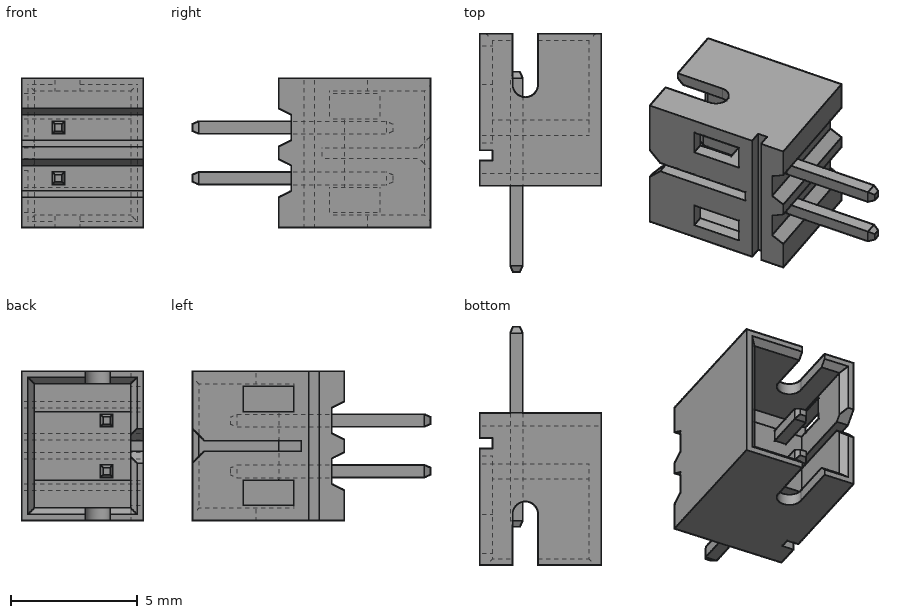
import cadquery as cq

WIDTH = 4.8
LENGTH = 6.0
HEIGHT = 5.9
SIDE_WALL = 0.5
END_WALL = 0.5
CAVITY_FLOOR = 2.6
MOUTH_CHAMFER = 0.25

END_SLOT_WIDTH = 1.0
END_SLOT_CENTRE = 1.8
END_SLOT_BOTTOM = 3.5

SIDE_SLOT_WIDTH = 0.42
SIDE_SLOT_BOTTOM = 1.7
FLARE_DEPTH = 0.47

WINDOW_BOTTOM = 2.0
WINDOW_LENGTH = 2.0
WINDOW_HEIGHT = 1.0
WINDOW_OFFSET = 1.85

NOTCH_BOTTOM = 1.0
NOTCH_WIDTH = 0.4
NOTCH_DEPTH = 0.5

GROOVE_DEPTH = 0.5
GROOVE_FLOOR_WIDTH = 1.0
GROOVE_MOUTH_WIDTH = 1.5

PIN_PITCH = 2.0
PIN_HEIGHTS = (-PIN_PITCH / 2, PIN_PITCH / 2)
PIN_SIZE = 0.5
PIN_X = 1.45
PIN_TAIL = 3.4
PIN_TOP = 4.5
TIP_LENGTH = 0.25
TIP_SIZE = 0.28


def box(x_range, y_range, z_range):
    """Axis-aligned block spanning the given (low, high) ranges."""
    ranges = (x_range, y_range, z_range)
    sizes = [high - low for low, high in ranges]
    corner = tuple(low for low, high in ranges)
    return cq.Workplane("XY").box(*sizes, centered=False).translate(corner)


def cavity():
    """Mating cavity with a chamfered mouth."""
    half_height = HEIGHT / 2 - END_WALL
    hollow = box(
        (SIDE_WALL, WIDTH - SIDE_WALL),
        (CAVITY_FLOOR, LENGTH),
        (-half_height, half_height),
    )
    mouth = (
        cq.Workplane("XZ", origin=(WIDTH / 2, LENGTH, 0))
        .rect(WIDTH - 2 * SIDE_WALL + 2 * MOUTH_CHAMFER, 2 * (half_height + MOUTH_CHAMFER))
        .workplane(offset=MOUTH_CHAMFER)
        .rect(WIDTH - 2 * SIDE_WALL, 2 * half_height)
        .loft()
    )
    return hollow.union(mouth)


def end_slots():
    """One round-bottomed cutter that slots both the top and the bottom wall."""
    radius = END_SLOT_WIDTH / 2
    arc_start = END_SLOT_BOTTOM + radius
    left = END_SLOT_CENTRE - radius
    right = END_SLOT_CENTRE + radius
    return (
        cq.Workplane("XY")
        .moveTo(left, LENGTH)
        .lineTo(left, arc_start)
        .threePointArc((END_SLOT_CENTRE, END_SLOT_BOTTOM), (right, arc_start))
        .lineTo(right, LENGTH)
        .close()
        .extrude(HEIGHT / 2, both=True)
    )


def side_slot():
    """Slot through the -X wall, flared at 45 degrees at the mouth."""
    half = SIDE_SLOT_WIDTH / 2
    flare_half = half + FLARE_DEPTH
    flare_start = LENGTH - FLARE_DEPTH
    return (
        cq.Workplane("YZ")
        .polyline([
            (SIDE_SLOT_BOTTOM, -half),
            (flare_start, -half),
            (LENGTH, -flare_half),
            (LENGTH, flare_half),
            (flare_start, half),
            (SIDE_SLOT_BOTTOM, half),
        ])
        .close()
        .extrude(SIDE_WALL)
    )


def window(side):
    """Window through the -X wall; side is 1 for the upper window, -1 for the lower."""
    height = side * WINDOW_OFFSET
    return box(
        (0, SIDE_WALL),
        (WINDOW_BOTTOM, WINDOW_BOTTOM + WINDOW_LENGTH),
        (height - WINDOW_HEIGHT / 2, height + WINDOW_HEIGHT / 2),
    )


def floor_recess(side):
    """Deeper strip of the cavity floor, from the window's inner edge out to the end wall."""
    inner = side * (WINDOW_OFFSET - WINDOW_HEIGHT / 2)
    outer = side * (HEIGHT / 2 - END_WALL)
    return box(
        (SIDE_WALL, WIDTH - SIDE_WALL),
        (WINDOW_BOTTOM, CAVITY_FLOOR),
        (min(inner, outer), max(inner, outer)),
    )


def notch():
    """Square notch over the full height of the -X face."""
    return box(
        (0, NOTCH_DEPTH),
        (NOTCH_BOTTOM, NOTCH_BOTTOM + NOTCH_WIDTH),
        (-HEIGHT / 2, HEIGHT / 2),
    )


def groove(height):
    """Groove with sloping flanks over the full width of the -Y face."""
    floor_half = GROOVE_FLOOR_WIDTH / 2
    mouth_half = GROOVE_MOUTH_WIDTH / 2
    return (
        cq.Workplane("YZ")
        .polyline([
            (0, height - mouth_half),
            (GROOVE_DEPTH, height - floor_half),
            (GROOVE_DEPTH, height + floor_half),
            (0, height + mouth_half),
        ])
        .close()
        .extrude(WIDTH)
    )


def pin_tip(height, base_y, direction):
    """Tapered tip that starts at base_y and points along +Y (1) or -Y (-1)."""
    return (
        cq.Workplane("XZ", origin=(PIN_X, base_y, height))
        .rect(PIN_SIZE, PIN_SIZE)
        .workplane(offset=-direction * TIP_LENGTH)
        .rect(TIP_SIZE, TIP_SIZE)
        .loft()
    )


def make_pin(height):
    """Square pin along Y with a tapered tip at both ends."""
    half = PIN_SIZE / 2
    shank_start = TIP_LENGTH - PIN_TAIL
    shank_end = PIN_TOP - TIP_LENGTH
    shank = box(
        (PIN_X - half, PIN_X + half),
        (shank_start, shank_end),
        (height - half, height + half),
    )
    return shank.union(pin_tip(height, shank_start, -1)).union(pin_tip(height, shank_end, 1))


def make_housing(pins):
    """Housing with all its openings and a matching hole for each pin."""
    housing = box((0, WIDTH), (0, LENGTH), (-HEIGHT / 2, HEIGHT / 2))
    housing = housing.cut(cavity()).cut(end_slots()).cut(side_slot()).cut(notch())
    for side in (-1, 1):
        housing = housing.cut(window(side)).cut(floor_recess(side))
    for height in PIN_HEIGHTS:
        housing = housing.cut(groove(height))
    for pin in pins:
        housing = housing.cut(pin)
    return housing


pins = [make_pin(height) for height in PIN_HEIGHTS]
housing = make_housing(pins)

result = cq.Compound.makeCompound([housing.val(), *[pin.val() for pin in pins]])